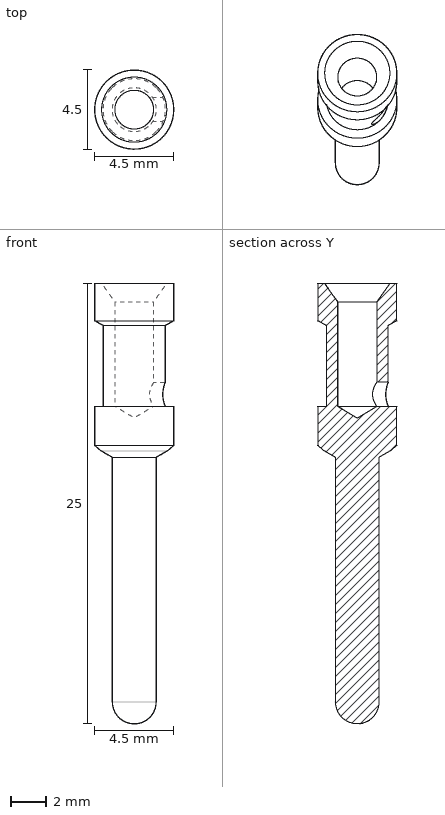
import cadquery as cq
import math

length = 25.0
head_radius = 2.25
neck_radius = 3.52 / 2
pin_radius = 1.25

rim_bottom = 22.88
neck_top = 22.6
collar_top = 18.02
collar_bottom = 15.8
pin_top = 15.12

collar_break_radius = 1.9
collar_break_height = 15.5

mouth_radius = 1.85
bore_radius = 1.1
funnel_depth = 1.05
bore_bottom = collar_top
drill_point_angle = 118.0

inspection_radius = 0.68
inspection_height = collar_top + inspection_radius


def turned_body():
    tip_mid = pin_radius * math.sqrt(0.5)
    return (
        cq.Workplane("XZ")
        .moveTo(0, 0)
        .threePointArc((tip_mid, pin_radius - tip_mid), (pin_radius, pin_radius))
        .lineTo(pin_radius, pin_top)
        .lineTo(collar_break_radius, collar_break_height)
        .lineTo(head_radius, collar_bottom)
        .lineTo(head_radius, collar_top)
        .lineTo(neck_radius, collar_top)
        .lineTo(neck_radius, neck_top)
        .lineTo(head_radius, rim_bottom)
        .lineTo(head_radius, length)
        .lineTo(0, length)
        .close()
        .revolve(360, (0, 0, 0), (0, 1, 0))
    )


def wire_socket():
    point_depth = bore_radius / math.tan(math.radians(drill_point_angle / 2))
    return (
        cq.Workplane("XZ")
        .moveTo(0, bore_bottom - point_depth)
        .lineTo(bore_radius, bore_bottom)
        .lineTo(bore_radius, length - funnel_depth)
        .lineTo(mouth_radius, length)
        .lineTo(0, length)
        .close()
        .revolve(360, (0, 0, 0), (0, 1, 0))
    )


def inspection_hole():
    return (
        cq.Workplane("YZ")
        .center(0, inspection_height)
        .circle(inspection_radius)
        .extrude(neck_radius)
    )


result = turned_body().cut(wire_socket()).cut(inspection_hole())